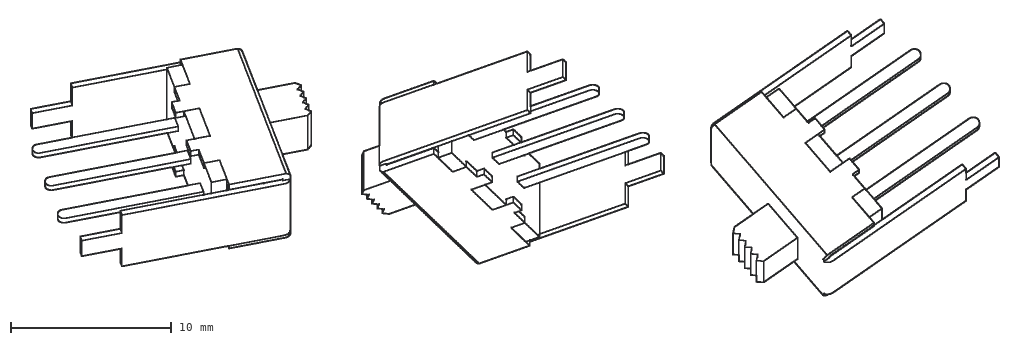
import cadquery as cq


total_length = 17.3

shell_width = 12.1
shell_height = 5.6
wall_thickness = 0.54
corner_radius = wall_thickness

plate_thickness = 0.4
plate_height = 4.5
plate_length = 11.0
mount_tab_height = 1.37
mount_tab_end = 13.6

flap_width = 11.47
flap_thickness = 0.45
flap_length = 4.01
flap_bend_depth = 0.33

tab_inner = 1.26
tab_outer = 3.5
finger_outer = 2.25
finger_end = 5.54

handle_width = 3.0
handle_height = 3.0
handle_length = 3.0
handle_x = -1.65
tooth_count = 5
tooth_depth = 0.33

base_width = 10.5
base_end = 5.02
pin_count = 3
pin_pitch = 3.0
pin_width = 0.8
pin_thickness = 0.4
pin_end = total_length - handle_length

flap_outer_z = shell_height / 2
flap_inner_z = flap_outer_z - flap_thickness


def block(x_range, y_range, z_range):
    """Box between two limits on each axis."""
    limits = (x_range, y_range, z_range)
    size = [high - low for low, high in limits]
    corner = tuple(low for low, _ in limits)
    return cq.Workplane("XY").box(*size, centered=False).translate(corner)


def make_outline(height):
    """Shell's outline in plan from the wall to the plates' ends, extruded about Z = 0."""
    return (
        cq.Workplane("XY")
        .center(0, -plate_length / 2)
        .rect(shell_width, plate_length)
        .extrude(height / 2, both=True)
        .edges("|Z and >Y")
        .fillet(corner_radius)
    )


def make_wall_and_plates():
    """Wall with a side plate at each end, each plate ending in a mounting tab."""
    inner_half = shell_width / 2 - plate_thickness
    cavity = block(
        (-inner_half, inner_half),
        (-mount_tab_end, -wall_thickness),
        (-plate_height / 2, plate_height / 2),
    )
    folded = make_outline(plate_height).cut(cavity)
    for inner, outer in ((-shell_width / 2, -inner_half), (inner_half, shell_width / 2)):
        mount_tab = block(
            (inner, outer),
            (-mount_tab_end, -plate_length),
            (-mount_tab_height / 2, mount_tab_height / 2),
        )
        folded = folded.union(mount_tab)
    return folded


def make_flaps():
    """Top and bottom flaps joined by the wall, with the outer bends rounded."""
    bend_radius = (flap_bend_depth**2 + flap_thickness**2) / (2 * flap_bend_depth)
    folded = (
        cq.Workplane("YZ")
        .moveTo(0, -flap_inner_z)
        .lineTo(0, flap_inner_z)
        .radiusArc((-flap_bend_depth, flap_outer_z), -bend_radius)
        .lineTo(-flap_length, flap_outer_z)
        .lineTo(-flap_length, flap_inner_z)
        .lineTo(-wall_thickness, flap_inner_z)
        .lineTo(-wall_thickness, -flap_inner_z)
        .lineTo(-flap_length, -flap_inner_z)
        .lineTo(-flap_length, -flap_outer_z)
        .lineTo(-flap_bend_depth, -flap_outer_z)
        .radiusArc((0, -flap_inner_z), -bend_radius)
        .close()
        .extrude(flap_width / 2, both=True)
    )
    return folded.intersect(make_outline(shell_height))


def make_retaining_tabs():
    """Four L-shaped tabs reaching back from the flaps, mirrored in X and in Z."""
    tab = (
        cq.Workplane("XY", origin=(0, 0, flap_inner_z))
        .moveTo(tab_inner, -flap_length)
        .lineTo(tab_outer, -flap_length)
        .lineTo(tab_outer, -base_end)
        .lineTo(finger_outer, -base_end)
        .lineTo(finger_outer, -finger_end)
        .lineTo(tab_inner, -finger_end)
        .close()
        .extrude(flap_thickness)
    )
    top_pair = tab.add(tab.mirror("YZ")).combine()
    return top_pair.add(top_pair.mirror("XY")).combine()


def make_handle():
    """Handle standing on the wall, its free end cut into triangular teeth."""
    pitch = handle_width / tooth_count
    left = handle_x - handle_width / 2
    valley_y = handle_length - tooth_depth
    outline = cq.Workplane("XY").moveTo(left, 0).lineTo(left, valley_y)
    for tooth in range(tooth_count):
        tooth_left = left + tooth * pitch
        outline = outline.lineTo(tooth_left + pitch / 2, handle_length)
        outline = outline.lineTo(tooth_left + pitch, valley_y)
    return outline.lineTo(left + handle_width, 0).close().extrude(handle_height / 2, both=True)


def make_shell(retaining_tabs):
    """Folded shell with its flaps, retaining tabs and handle as one solid."""
    return make_wall_and_plates().union(make_flaps()).union(retaining_tabs).union(make_handle())


def make_pin(x):
    """Flat pin with a semicircular tip, standing on the base plate."""
    half_width = pin_width / 2
    shoulder_y = half_width - pin_end
    return (
        cq.Workplane("XY")
        .moveTo(x - half_width, -base_end)
        .lineTo(x - half_width, shoulder_y)
        .threePointArc((x, -pin_end), (x + half_width, shoulder_y))
        .lineTo(x + half_width, -base_end)
        .close()
        .extrude(pin_thickness / 2, both=True)
    )


def make_base(retaining_tabs):
    """Base plate behind the flaps, notched around the retaining tabs, with its pins."""
    base = block(
        (-base_width / 2, base_width / 2),
        (-base_end, -flap_length),
        (-shell_height / 2, shell_height / 2),
    ).cut(retaining_tabs)
    for index in range(pin_count):
        base = base.union(make_pin((index - (pin_count - 1) / 2) * pin_pitch))
    return base


retaining_tabs = make_retaining_tabs()
shell = make_shell(retaining_tabs)
base = make_base(retaining_tabs)

result = cq.Compound.makeCompound([shell.val(), base.val()])